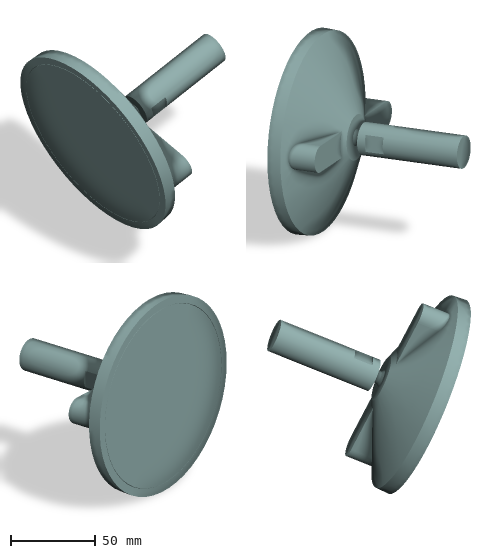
import cadquery as cq

FACE_Y = 0.0
TOTAL_LENGTH = 100.0

PLATE_DIAMETER = 124.0
RIM_TOP_DIAMETER = 123.1
RIM_HEIGHT = 8.3
CONE_TOP_DIAMETER = 28.0
PLATE_HEIGHT = 30.0

GROOVE_OUTER_DIAMETER = 114.0
GROOVE_INNER_DIAMETER = 113.5
GROOVE_DEPTH = 2.0

NECK_DIAMETER = 7.8

BALL_DIAMETER = 12.5
BALL_CENTER_Y = 26.5

HANDLE_DIAMETER = 20.0
HANDLE_LENGTH = 65.0
HANDLE_START = TOTAL_LENGTH - HANDLE_LENGTH
FLAT_WIDTH = 17.0
FLAT_SETBACK = 5.0
FLAT_START = HANDLE_START + FLAT_SETBACK
FLAT_LENGTH = 11.7

BAR_LENGTH = 111.5
BAR_WIDTH = 16.4
BAR_START = RIM_HEIGHT / 2
BAR_TOP = 28.0


def disc(diameter, start, length):
    """Cylinder along +Y between start and start + length."""
    plane = cq.Workplane("XZ", origin=(0, start, 0))
    return plane.circle(diameter / 2).extrude(-length)


def plate():
    """Rim and cone revolved about the Y axis."""
    profile = [
        (0, FACE_Y),
        (PLATE_DIAMETER / 2, FACE_Y),
        (RIM_TOP_DIAMETER / 2, RIM_HEIGHT),
        (CONE_TOP_DIAMETER / 2, PLATE_HEIGHT),
        (0, PLATE_HEIGHT),
    ]
    outline = cq.Workplane("XY").polyline(profile).close()
    return outline.revolve(360, (0, 0, 0), (0, 1, 0))


def ring_groove():
    """Thin ring, sunk into the face, to be cut away around the pad."""
    outer = disc(GROOVE_OUTER_DIAMETER, FACE_Y, GROOVE_DEPTH)
    return outer.cut(disc(GROOVE_INNER_DIAMETER, FACE_Y, GROOVE_DEPTH))


def crossbar():
    """Rounded bar that starts inside the rim and shows beside the cone."""
    plane = cq.Workplane("XZ", origin=(0, BAR_START, 0))
    return plane.slot2D(BAR_LENGTH, BAR_WIDTH).extrude(BAR_START - BAR_TOP)


def handle():
    """Round handle with two wrench flats facing -X and +X."""
    grip = disc(HANDLE_DIAMETER, HANDLE_START, HANDLE_LENGTH)
    flat_zone = disc(HANDLE_DIAMETER, FLAT_START, FLAT_LENGTH)
    flat_center = FLAT_START + FLAT_LENGTH / 2
    core = cq.Workplane("XY").box(FLAT_WIDTH, FLAT_LENGTH, HANDLE_DIAMETER)
    core = core.translate((0, flat_center, 0))
    return grip.cut(flat_zone.cut(core))


def ball_stud():
    """Ball with the neck that carries the handle; the ball's poles lie on the Y axis."""
    ball = cq.Workplane("XZ", origin=(0, BALL_CENTER_Y, 0)).sphere(BALL_DIAMETER / 2)
    neck = disc(NECK_DIAMETER, BALL_CENTER_Y, HANDLE_START - BALL_CENTER_Y)
    return ball.union(neck)


body = plate().union(crossbar()).union(ball_stud()).union(handle())
result = body.cut(ring_groove())